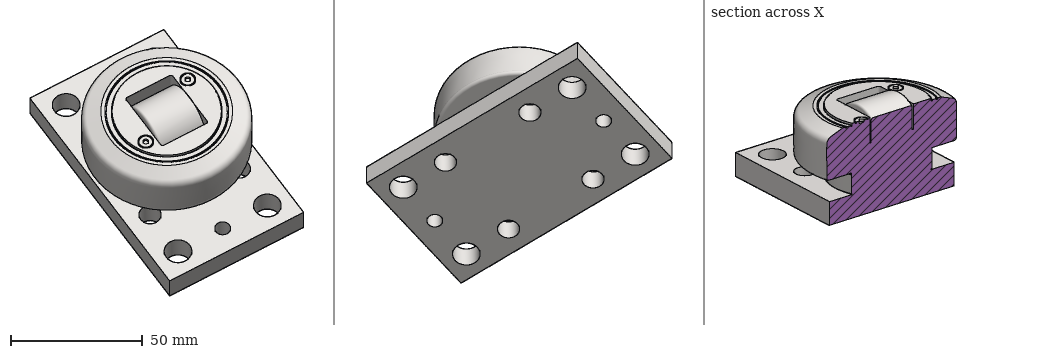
import cadquery as cq
import math

plate_length = 100
plate_width = 60
plate_thickness = 10
corner_hole_diameter = 10.5
corner_hole_x = 40
corner_hole_y = 20
pin_hole_diameter = 6
bolt_hole_diameter = 8.4
bolt_hole_offset = 20

stud_diameter = 42
stud_chamfer = 0.4
collar_diameter = 42.1
collar_height = 0.6

roller_diameter = 64.8
roller_bottom_z = 18.8
roller_top_z = 38.9
crown_radius = 300
crown_peak_z = 29
crown_bottom_z = 20.4
crown_top_z = 34.1
bottom_round_width = 1.2
top_flat_radius = 25
taper_end_radius = 30.4
taper_end_z = 36.8
shoulder_radius = 3
seal_outer_diameter = 47
seal_inner_diameter = 46
groove_depth = 0.5

cap_diameter = 41.5
cap_bore_diameter = 42.1
cap_top_z = 39.6

total_height = 42
side_roller_diameter = 26
side_roller_length = 20
side_roller_round = 1
side_roller_axis_z = total_height - side_roller_diameter / 2
pocket_length = 26.2
pocket_width = 20.8
pocket_corner_radius = 1

screw_x = 8
screw_y = 14.4
screw_hole_diameter = 6
screw_head_diameter = 5.3
screw_gap_depth = 0.5
socket_diameter = 2.2
socket_depth = 1


def disc(diameter, bottom_z, top_z):
    return cq.Workplane("XY", origin=(0, 0, bottom_z)).circle(diameter / 2).extrude(top_z - bottom_z)


def ring_groove(outer_diameter, inner_diameter, top_z, depth, centers):
    outline = cq.Workplane("XY", origin=(0, 0, top_z)).pushPoints(centers).circle(outer_diameter / 2)
    return outline.pushPoints(centers).circle(inner_diameter / 2).extrude(-depth)


def make_plate():
    plate = cq.Workplane("XY").box(plate_length, plate_width, plate_thickness, centered=(True, True, False))
    hole_groups = [
        (corner_hole_diameter, corner_hole_x, [-corner_hole_y, corner_hole_y]),
        (pin_hole_diameter, corner_hole_x, [0]),
        (bolt_hole_diameter, bolt_hole_offset, [-bolt_hole_offset, bolt_hole_offset]),
    ]
    for diameter, hole_x, hole_rows in hole_groups:
        centers = [(x, y) for x in (-hole_x, hole_x) for y in hole_rows]
        plate = plate.cut(cq.Workplane("XY").pushPoints(centers).circle(diameter / 2).extrude(plate_thickness))
    return plate


def make_stud():
    stud = disc(stud_diameter, plate_thickness, roller_bottom_z).faces("<Z").chamfer(stud_chamfer)
    return stud.union(disc(collar_diameter, roller_bottom_z - collar_height, roller_bottom_z))


def rim_radius_at(z):
    crown_drop = crown_radius - math.sqrt(crown_radius**2 - (z - crown_peak_z) ** 2)
    return roller_diameter / 2 - crown_drop


def make_main_roller():
    bottom_rim_radius = rim_radius_at(crown_bottom_z)
    top_rim_radius = rim_radius_at(crown_top_z)
    profile = (
        cq.Workplane("XZ")
        .moveTo(0, roller_bottom_z)
        .lineTo(bottom_rim_radius - bottom_round_width, roller_bottom_z)
        .tangentArcPoint((bottom_rim_radius, crown_bottom_z), relative=False)
        .threePointArc((roller_diameter / 2, crown_peak_z), (top_rim_radius, crown_top_z))
        .radiusArc((taper_end_radius, taper_end_z), -shoulder_radius)
        .lineTo(top_flat_radius, roller_top_z)
        .lineTo(0, roller_top_z)
        .close()
    )
    roller = profile.revolve(360, (0, 0, 0), (0, 1, 0))
    seal = ring_groove(seal_outer_diameter, seal_inner_diameter, roller_top_z, groove_depth, [(0, 0)])
    cap_gap = ring_groove(cap_bore_diameter, cap_diameter, roller_top_z, groove_depth, [(0, 0)])
    return roller.cut(seal).cut(cap_gap)


def cut_pocket(body):
    pocket = (
        cq.Workplane("XY", origin=(0, 0, side_roller_axis_z))
        .rect(pocket_length, pocket_width)
        .extrude(cap_top_z - side_roller_axis_z)
        .edges("|Z")
        .fillet(pocket_corner_radius)
    )
    return body.cut(pocket)


def make_side_roller():
    return (
        cq.Workplane("XZ", origin=(0, -side_roller_length / 2, side_roller_axis_z))
        .circle(side_roller_diameter / 2)
        .extrude(-side_roller_length)
        .edges()
        .fillet(side_roller_round)
    )


def cut_screws(body):
    centers = [(-screw_x, screw_y), (screw_x, -screw_y)]
    gaps = ring_groove(screw_hole_diameter, screw_head_diameter, cap_top_z, screw_gap_depth, centers)
    sockets = cq.Workplane("XY", origin=(0, 0, cap_top_z)).pushPoints(centers)
    return body.cut(gaps).cut(sockets.circle(socket_diameter / 2).extrude(-socket_depth))


body = make_plate().union(make_stud()).union(make_main_roller())
body = body.union(disc(cap_diameter, roller_top_z, cap_top_z))
body = cut_screws(cut_pocket(body))
result = body.union(make_side_roller())